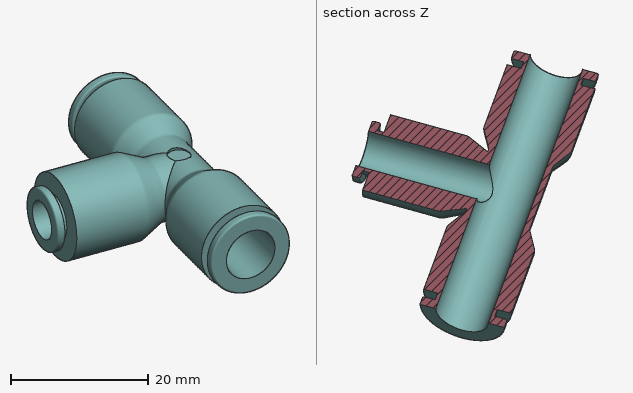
import cadquery as cq
import math

body_radius = 6.75
neck_radius = 4.95
blend_radius = 1.3

run_end = 22.6
run_body_end = 20.0
run_cone_end = 8.72
run_cone_angle = 30.0
run_flange_radius = 6.5
run_flange_thickness = 1.5
run_sleeve_radius = 4.6
run_bore_radius = 4.0

branch_end = 22.55
branch_body_end = 20.35
branch_cone_end = 8.5
branch_cone_angle = 25.0
branch_flange_radius = 4.95
branch_flange_thickness = 1.3
branch_sleeve_radius = 3.6
branch_bore_radius = 3.0

flange_round = 0.3

recess_radius = 1.77
recess_depth = 0.4

run_left = cq.Plane(origin=(0, 0, 0), xDir=(0, 1, 0), normal=(-1, 0, 0))
run_right = cq.Plane(origin=(0, 0, 0), xDir=(0, 1, 0), normal=(1, 0, 0))
branch = cq.Plane(origin=(0, 0, 0), xDir=(1, 0, 0), normal=(0, -1, 0))


def disc(plane, radius, start, end):
    """Cylinder along the plane normal between two distances from its origin."""
    return cq.Workplane(plane).workplane(offset=start).circle(radius).extrude(end - start)


def arm_body(plane, cone_end, cone_angle, body_end):
    """Neck and socket joined by a cone, with rounded blends at both cone ends."""
    slope = math.radians(cone_angle)
    cone_start = cone_end - (body_radius - neck_radius) / math.tan(slope)
    tangent = blend_radius * math.tan(slope / 2)
    sagitta = blend_radius * (1 - math.cos(slope / 2))
    arc_mid_shift = blend_radius * math.sin(slope / 2)
    along = tangent * math.cos(slope)
    across = tangent * math.sin(slope)
    neck_blend = cone_start - tangent
    body_blend = cone_end + tangent
    axial = cq.Plane(origin=(0, 0, 0), xDir=plane.xDir, normal=plane.xDir.cross(plane.zDir))
    return (
        cq.Workplane(axial)
        .lineTo(neck_radius, 0)
        .lineTo(neck_radius, neck_blend)
        .threePointArc(
            (neck_radius + sagitta, neck_blend + arc_mid_shift),
            (neck_radius + across, cone_start + along),
        )
        .lineTo(body_radius - across, cone_end - along)
        .threePointArc(
            (body_radius - sagitta, body_blend - arc_mid_shift),
            (body_radius, body_blend),
        )
        .lineTo(body_radius, body_end)
        .lineTo(0, body_end)
        .close()
        .revolve(360, (0, 0, 0), (0, 1, 0))
    )


def release_collar(plane, body_end, end, sleeve_radius, flange_radius, flange_thickness):
    """Sleeve leaving the socket and carrying a round-edged flange."""
    sleeve = disc(plane, sleeve_radius, body_end, end)
    flange = disc(plane, flange_radius, end - flange_thickness, end).edges().fillet(flange_round)
    return sleeve.union(flange)


def run_arm(plane):
    collar = release_collar(
        plane, run_body_end, run_end, run_sleeve_radius, run_flange_radius, run_flange_thickness
    )
    return arm_body(plane, run_cone_end, run_cone_angle, run_body_end).union(collar)


def branch_arm():
    collar = release_collar(
        branch,
        branch_body_end,
        branch_end,
        branch_sleeve_radius,
        branch_flange_radius,
        branch_flange_thickness,
    )
    return arm_body(branch, branch_cone_end, branch_cone_angle, branch_body_end).union(collar)


result = run_arm(run_left).union(run_arm(run_right)).union(branch_arm())

top_plane = cq.Plane.XY()
result = result.cut(disc(top_plane, recess_radius, neck_radius - recess_depth, body_radius))

result = result.cut(disc(run_right, run_bore_radius, -run_end, run_end))
result = result.cut(disc(branch, branch_bore_radius, 0, branch_end))